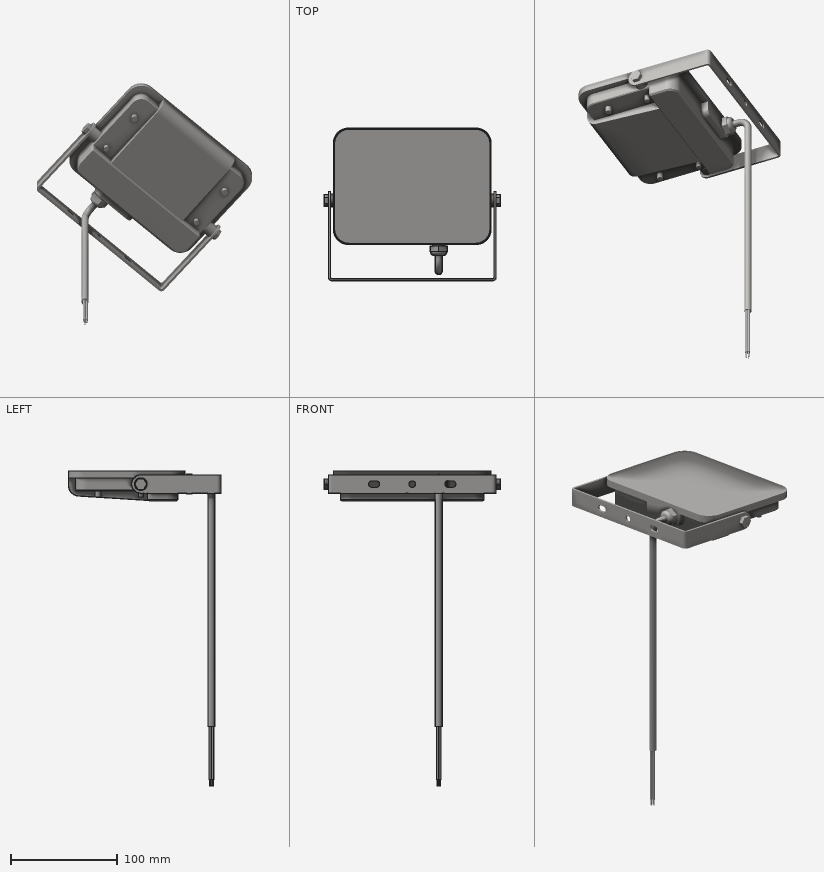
import cadquery as cq
import math


plate_width = 148.8
plate_front = 34.2
plate_back = 144.0
plate_thickness = 6.8
plate_corner = 14.5
rim_width = 1.2
glass_recess = 0.3

housing_width = 135.7
housing_front = 40.7
housing_back = 137.2
housing_corner = 10.7
housing_bottom = -19.0
housing_chamfer = 1.0
driver_box_back = 69.2
driver_box_bottom = -28.5
driver_box_back_corner = 2.5
driver_box_chamfer = 1.5

spine_width = 89
spine_front = driver_box_back
spine_back_bottom = -23.2
spine_front_bottom = -28.0
spine_corner = 10.5

posts = [(116.0, 5.5), (75.7, 4.8)]
post_x = 56.5
post_bottom = -24.7

pad_left = -10.5
pad_right = 34.5
pad_bottom = -21.0
pad_corner = 6.8

bracket_width = 158.3
bracket_height = 17.2
bracket_sheet = 2.0
bracket_bend = 3.5
arm_tip_flat = 0.05
pivot_y = 75.7
pivot_z = -12.5
centre_hole = 6.2
slot_length = 10.5
slot_width = 6
slot_x = 36.0
bolt_seat_diameter = 12
bolt_seat_depth = 0.3

bolt_span = 166.0
bolt_across_corners = 11.3
spacer_diameter = 12.5

cable_x = 25.0
cable_y = 9.2
cable_diameter = 6.8
cable_bend = 9.8
gland_collar_diameter = 12
gland_across_corners = 18.7
gland_nut_back = 32.7
gland_nut_front = 27.5
gland_cap_diameter = 15.5
gland_cap_front = 23.8
gland_cap_round = 3.5
sheath_end = -241.2
wire_end = -291
core_end = -297
wire_radius = 1.2
core_radius = 0.5
wire_centre_x = 24.7
wire_offset = 1.43
wire_overlap = 1.5


def rounded_block(width, front, back, top, bottom, corner):
    """Block centred on X with rounded vertical edges."""
    return (
        cq.Workplane("XY", origin=(0, (front + back) / 2, bottom))
        .rect(width, back - front)
        .extrude(top - bottom)
        .edges("|Z")
        .fillet(corner)
    )


def rod_along_y(diameter, start, end):
    """Round bar on the gland axis."""
    return (
        cq.Workplane("XZ", origin=(cable_x, start, pivot_z))
        .circle(diameter / 2)
        .extrude(start - end)
    )


def head_plate():
    plate = rounded_block(plate_width, plate_front, plate_back, 0, -plate_thickness, plate_corner)
    glass = rounded_block(
        plate_width - 2 * rim_width,
        plate_front + rim_width,
        plate_back - rim_width,
        0,
        -glass_recess,
        plate_corner - rim_width,
    )
    return plate.cut(glass)


def housing():
    base = rounded_block(
        housing_width, housing_front, housing_back, -plate_thickness, housing_bottom, housing_corner
    )
    base = base.faces("<Z").edges().chamfer(housing_chamfer)
    box = (
        cq.Workplane("XY", origin=(0, (housing_front + driver_box_back) / 2, driver_box_bottom))
        .rect(housing_width, driver_box_back - housing_front)
        .extrude(-plate_thickness - driver_box_bottom)
        .edges("|Z and <Y")
        .fillet(housing_corner)
        .edges("|Z and >Y")
        .fillet(driver_box_back_corner)
        .faces("<Z")
        .edges()
        .chamfer(driver_box_chamfer)
    )
    return base.union(box)


def spine():
    return (
        cq.Workplane("YZ", origin=(-spine_width / 2, 0, 0))
        .moveTo(spine_front, -plate_thickness)
        .lineTo(plate_back, -plate_thickness)
        .lineTo(plate_back, spine_back_bottom)
        .lineTo(spine_front, spine_front_bottom)
        .close()
        .extrude(spine_width)
        .faces(">Y")
        .edges("<Z")
        .fillet(spine_corner)
    )


def underside_posts():
    solids = cq.Workplane("XY")
    for y, diameter in posts:
        solids = solids.union(
            cq.Workplane("XY", origin=(0, y, post_bottom))
            .pushPoints([(-post_x, 0), (post_x, 0)])
            .circle(diameter / 2)
            .extrude(-plate_thickness - post_bottom)
        )
    return solids


def gland_pad():
    """Pad flush with the front edge of the head plate."""
    centre_x = (pad_left + pad_right) / 2
    centre_z = (pad_bottom - plate_thickness) / 2
    return (
        cq.Workplane("XZ", origin=(centre_x, housing_front, centre_z))
        .rect(pad_right - pad_left, -plate_thickness - pad_bottom)
        .extrude(housing_front - plate_front)
        .edges("|Y and <Z")
        .fillet(pad_corner)
    )


def bracket():
    arm_end = pivot_y + bracket_height / 2
    bottom = pivot_z - bracket_height / 2
    outer = (
        cq.Workplane("XY", origin=(0, arm_end / 2, bottom))
        .rect(bracket_width, arm_end)
        .extrude(bracket_height)
        .edges("|Z and <Y")
        .fillet(bracket_bend)
    )
    inner = (
        cq.Workplane("XY", origin=(0, arm_end / 2 + bracket_sheet, bottom))
        .rect(bracket_width - 2 * bracket_sheet, arm_end)
        .extrude(bracket_height)
        .edges("|Z and <Y")
        .fillet(bracket_bend - bracket_sheet)
    )
    strap = outer.cut(inner).edges("|X and >Y").fillet(bracket_height / 2 - arm_tip_flat / 2)
    holes = (
        cq.Workplane("XZ", origin=(0, bracket_sheet, pivot_z))
        .circle(centre_hole / 2)
        .pushPoints([(-slot_x, 0), (slot_x, 0)])
        .slot2D(slot_length, slot_width)
        .extrude(bracket_sheet)
    )
    bolt_seat = (
        cq.Workplane("YZ", origin=(bracket_width / 2 - bolt_seat_depth, pivot_y, pivot_z))
        .circle(bolt_seat_diameter / 2)
        .extrude(bolt_seat_depth)
    )
    return strap.cut(holes).cut(bolt_seat).cut(bolt_seat.mirror("YZ"))


def pivot_bolts():
    arm_inside = bracket_width / 2 - bracket_sheet
    spacer = (
        cq.Workplane("YZ", origin=(housing_width / 2, pivot_y, pivot_z))
        .circle(spacer_diameter / 2)
        .extrude(arm_inside - housing_width / 2)
    )
    head = (
        cq.Workplane("YZ", origin=(arm_inside, pivot_y, pivot_z))
        .polygon(6, bolt_across_corners)
        .extrude(bolt_span / 2 - arm_inside)
    )
    bolt = spacer.union(head)
    return bolt.union(bolt.mirror("YZ"))


def gland():
    collar = rod_along_y(gland_collar_diameter, housing_front, gland_nut_back)
    nut = (
        cq.Workplane("XZ", origin=(cable_x, gland_nut_back, pivot_z))
        .transformed(rotate=(0, 0, 90))
        .polygon(6, gland_across_corners)
        .extrude(gland_nut_back - gland_nut_front)
    )
    cap = rod_along_y(gland_cap_diameter, gland_nut_front, gland_cap_front)
    cap = cap.faces("<Y").edges().fillet(gland_cap_round)
    return collar.union(nut).union(cap)


def cable():
    bend_start = cable_y + cable_bend
    bend_end = pivot_z - cable_bend
    corner = cable_bend * (1 - math.sqrt(0.5))
    path = (
        cq.Workplane("YZ", origin=(cable_x, 0, 0))
        .moveTo(gland_nut_front, pivot_z)
        .lineTo(bend_start, pivot_z)
        .threePointArc((cable_y + corner, pivot_z - corner), (cable_y, bend_end))
        .lineTo(cable_y, sheath_end)
    )
    return (
        cq.Workplane("XZ", origin=(cable_x, gland_nut_front, pivot_z))
        .circle(cable_diameter / 2)
        .sweep(path)
    )


def wires():
    """Three insulated wires in a triangle, each with a bare core at its end."""
    solids = cq.Workplane("XY")
    for angle in (0, 120, 240):
        x = wire_centre_x + wire_offset * math.cos(math.radians(angle))
        y = cable_y + wire_offset * math.sin(math.radians(angle))
        for radius, end in ((wire_radius, wire_end), (core_radius, core_end)):
            start = sheath_end + wire_overlap
            bar = cq.Workplane("XY", origin=(x, y, end)).circle(radius).extrude(start - end)
            solids = solids.union(bar)
    return solids


result = head_plate()
for piece in (
    housing(),
    spine(),
    underside_posts(),
    gland_pad(),
    bracket(),
    pivot_bolts(),
    gland(),
    cable(),
    wires(),
):
    result = result.union(piece)